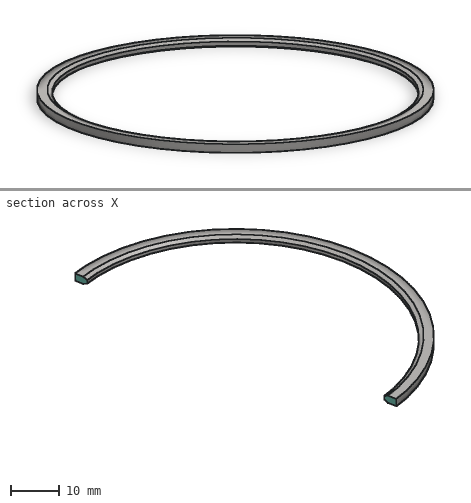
import cadquery as cq

outer_diameter = 82.37
bore_diameter = 76.07
thickness = 1.9

lead_in_width = 1.0
lead_in_depth = 0.5

outer_radius = outer_diameter / 2
bore_radius = bore_diameter / 2
mouth_radius = bore_radius + lead_in_width
half_thickness = thickness / 2
half_land = half_thickness - lead_in_depth


def ring_section():
    """Half cross-section in the XZ plane, symmetric about Z = 0."""
    return (
        cq.Workplane("XZ")
        .moveTo(outer_radius, -half_thickness)
        .lineTo(outer_radius, half_thickness)
        .lineTo(mouth_radius, half_thickness)
        .lineTo(bore_radius, half_land)
        .lineTo(bore_radius, -half_land)
        .lineTo(mouth_radius, -half_thickness)
        .close()
    )


result = ring_section().revolve(360, (0, 0, 0), (0, 1, 0))